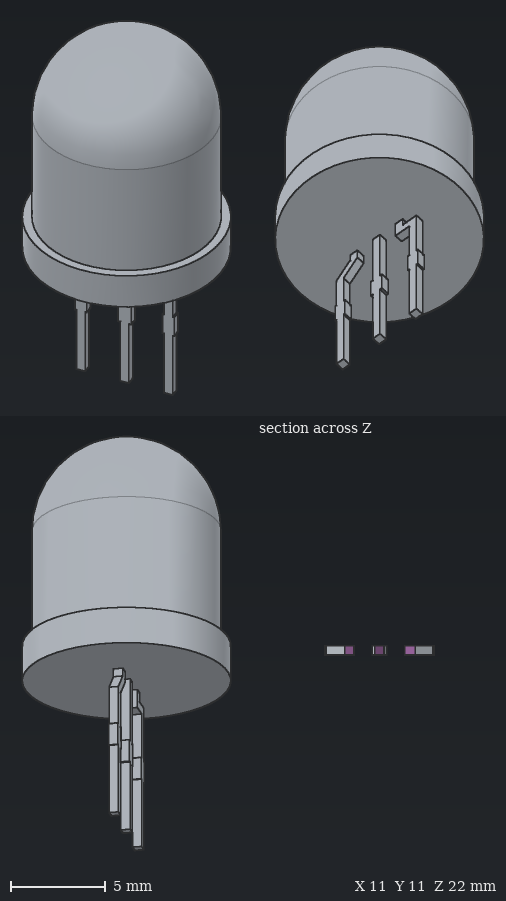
import cadquery as cq

total_height = 22.0
flange_diameter = 11.0
flange_height = 2.0
dome_radius = 5.0
barrel_height = 6.5
lead_length = total_height - flange_height - barrel_height - dome_radius

lead_width = 0.5
half_width = lead_width / 2
root_offset = 1.58
tip_offset = 2.55

stop_top = -3.5
stop_height = 1.2
outer_stop_width = 0.68
middle_stop_width = 0.77

square_bend_top = -0.5
slant_outer_top = -0.45
slant_inner_top = -0.62


def make_lens():
    """Flange, barrel and hemispherical dome, turned as one solid."""
    flange_radius = flange_diameter / 2
    barrel_top = flange_height + barrel_height
    dome_mid = dome_radius * 0.5 ** 0.5
    return (
        cq.Workplane("XZ")
        .moveTo(0, 0)
        .lineTo(flange_radius, 0)
        .lineTo(flange_radius, flange_height)
        .lineTo(dome_radius, flange_height)
        .lineTo(dome_radius, barrel_top)
        .threePointArc((dome_mid, barrel_top + dome_mid), (0, barrel_top + dome_radius))
        .close()
        .revolve(360, (0, 0, 0), (0, 1, 0))
    )


def make_lead(outline, tip_x, stop_width):
    """Extrude a lead outline about the plane Y = 0 and add its stop."""
    wire = cq.Workplane("XZ").polyline(outline).close().extrude(half_width, both=True)
    stop = (
        cq.Workplane("XY")
        .box(stop_width, lead_width, stop_height)
        .translate((tip_x, 0, stop_top - stop_height / 2))
    )
    return wire.union(stop)


def make_square_bent_lead():
    """Lead on the -X side, with a horizontal step."""
    step_bottom = square_bend_top - lead_width
    outline = [
        (-root_offset - half_width, 0),
        (-root_offset + half_width, 0),
        (-root_offset + half_width, step_bottom),
        (-tip_offset + half_width, step_bottom),
        (-tip_offset + half_width, -lead_length),
        (-tip_offset - half_width, -lead_length),
        (-tip_offset - half_width, square_bend_top),
        (-root_offset - half_width, square_bend_top),
    ]
    return make_lead(outline, -tip_offset, outer_stop_width)


def make_straight_lead():
    """Lead on the axis."""
    outline = [
        (-half_width, 0),
        (half_width, 0),
        (half_width, -lead_length),
        (-half_width, -lead_length),
    ]
    return make_lead(outline, 0, middle_stop_width)


def make_slant_bent_lead():
    """Lead on the +X side, with a 45 degree slanted stretch."""
    slant_drop = tip_offset - root_offset
    outline = [
        (root_offset - half_width, 0),
        (root_offset + half_width, 0),
        (root_offset + half_width, slant_outer_top),
        (tip_offset + half_width, slant_outer_top - slant_drop),
        (tip_offset + half_width, -lead_length),
        (tip_offset - half_width, -lead_length),
        (tip_offset - half_width, slant_inner_top - slant_drop),
        (root_offset - half_width, slant_inner_top),
    ]
    return make_lead(outline, tip_offset, outer_stop_width)


lens = make_lens()
square_bent_lead = make_square_bent_lead()
straight_lead = make_straight_lead()
slant_bent_lead = make_slant_bent_lead()

result = cq.Compound.makeCompound(
    [lens.val(), square_bent_lead.val(), straight_lead.val(), slant_bent_lead.val()]
)